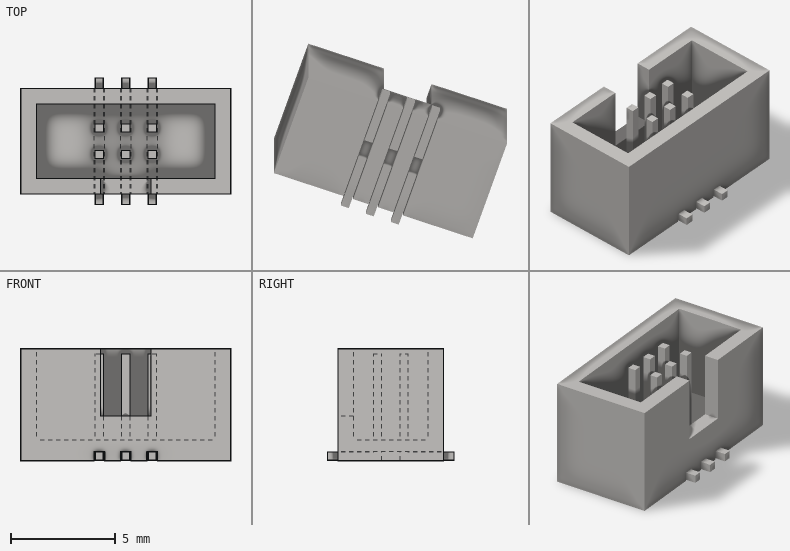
import cadquery as cq


body_length = 10.11
body_width = 5.08
body_height = 5.4
cavity_length = 8.58
cavity_width = 3.6
floor_height = 1.0

notch_width = 2.42
notch_depth = 3.23

pitch = 1.27
pins_per_row = 3
pin_size = 0.4
pin_top_gap = 0.25
lead_span = 6.1
lead_standoff = 0.03

slot_width = 0.5
slot_height = 0.45

row_offset = pitch / 2
wall_thickness = (body_width - cavity_width) / 2
pin_columns = [(i - (pins_per_row - 1) / 2) * pitch for i in range(pins_per_row)]


def block(length, width, height, x=0, y=0, z=0):
    """Box centred at x, y in plan, with its underside at height z."""
    return cq.Workplane("XY").box(length, width, height, centered=(True, True, False)).translate((x, y, z))


def make_housing():
    """Open-topped box with a notch in one long wall and slots for the leads."""
    housing = block(body_length, body_width, body_height)
    housing = housing.cut(block(cavity_length, cavity_width, body_height - floor_height, z=floor_height))

    notch_y = -(body_width - wall_thickness) / 2
    notch_z = body_height - notch_depth
    housing = housing.cut(block(notch_width, wall_thickness, notch_depth, y=notch_y, z=notch_z))

    for x in pin_columns:
        housing = housing.cut(block(slot_width, body_width, slot_height, x=x))
    return housing


def make_contact(x, side):
    """Vertical pin with a lead bent outward to the +Y (side 1) or -Y (side -1) edge."""
    pin_height = body_height - pin_top_gap - lead_standoff
    pin = block(pin_size, pin_size, pin_height, x, side * row_offset, lead_standoff)

    lead_inner = row_offset - pin_size / 2
    lead_outer = lead_span / 2
    lead_y = side * (lead_inner + lead_outer) / 2
    lead = block(pin_size, lead_outer - lead_inner, pin_size, x, lead_y, lead_standoff)
    return pin.union(lead)


result = make_housing()
for column_x in pin_columns:
    for row_side in (-1, 1):
        result = result.union(make_contact(column_x, row_side))